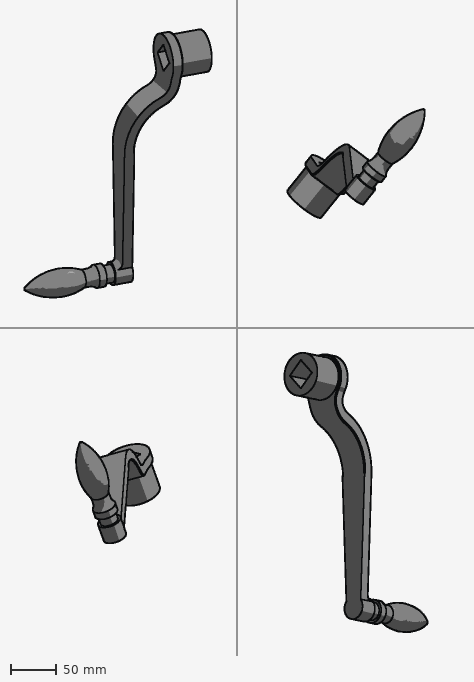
import cadquery as cq
import math


flange_diameter = 55.0
flange_radius = flange_diameter / 2
plate_thickness = 12.0
back_chamfer = 1.2
hub_radius = 24.0
hub_length = 36.0
square_side = 22.5

arm_forward = 54.3
bend_top_z = -22.0
bend_bottom_z = -100.5
outer_bend_radius = 66.0
neck_width = 37.3
neck_z = -38.1
arm_taper = 0.04
neck_blend_radius = 38.1

handle_z = -250.0
boss_radius = 13.2
boss_end = 63.5
boss_fillet = 5.3
stem_radius = 10.3
collar_start = 74.2
collar_end = 82.8
throat_start = 92.5
throat_end = 98.3
grip_diameter = 32.0
grip_radius = grip_diameter / 2
grip_widest = 126.5
tip_radius = 2.3
tip_start = 167.0
handle_end = 168.5

throat_middle = (11.2, -86.5)
grip_swell = (14.5, -110.5)
grip_narrowing = (12.0, -148.2)


def half_width(z):
    """Half the arm width at height z."""
    return neck_width / 2 + arm_taper * (z - neck_z)


def arm_side_profile():
    """S-shaped plate seen along X, with concentric front and back arcs."""
    drop = bend_top_z - bend_bottom_z
    radius_sum = (arm_forward**2 + drop**2) / (2 * arm_forward)
    inner_radius = radius_sum - outer_bend_radius
    turn = math.asin(drop / radius_sum)

    def upper(radius, angle):
        return (-inner_radius + radius * math.cos(angle), bend_top_z - radius * math.sin(angle))

    def lower(radius, angle):
        centre = arm_forward - outer_bend_radius
        return (-centre - radius * math.cos(angle), bend_bottom_z + radius * math.sin(angle))

    back_upper = inner_radius + plate_thickness
    back_lower = outer_bend_radius - plate_thickness
    return (
        cq.Workplane("YZ")
        .moveTo(0, flange_radius)
        .lineTo(0, bend_top_z)
        .threePointArc(upper(inner_radius, turn / 2), upper(inner_radius, turn))
        .threePointArc(lower(outer_bend_radius, turn / 2), lower(outer_bend_radius, 0))
        .lineTo(-arm_forward, handle_z)
        .lineTo(plate_thickness - arm_forward, handle_z)
        .lineTo(*lower(back_lower, 0))
        .threePointArc(lower(back_lower, turn / 2), lower(back_lower, turn))
        .threePointArc(upper(back_upper, turn / 2), upper(back_upper, 0))
        .lineTo(plate_thickness, flange_radius)
        .close()
    )


def arm_outline():
    """Round head blended by concave arcs into a tapering strip, seen along Y."""
    slope_angle = math.atan(arm_taper)
    edge_distance = half_width(0) * math.cos(slope_angle) + neck_blend_radius
    centre_distance = flange_radius + neck_blend_radius
    centre_angle = math.acos(edge_distance / centre_distance) + slope_angle
    centre_x = centre_distance * math.cos(centre_angle)
    centre_z = -centre_distance * math.sin(centre_angle)

    def blend_point(angle):
        x = centre_x - neck_blend_radius * math.cos(angle)
        z = centre_z + neck_blend_radius * math.sin(angle)
        return (x, z)

    head_end = blend_point(centre_angle)
    blend_middle = blend_point((centre_angle + slope_angle) / 2)
    strip_start = blend_point(slope_angle)

    def mirrored(point):
        return (-point[0], point[1])

    return (
        cq.Workplane("XZ")
        .moveTo(*mirrored(head_end))
        .threePointArc((0, flange_radius), head_end)
        .threePointArc(blend_middle, strip_start)
        .lineTo(half_width(handle_z), handle_z)
        .lineTo(-half_width(handle_z), handle_z)
        .lineTo(*mirrored(strip_start))
        .threePointArc(mirrored(blend_middle), mirrored(head_end))
        .close()
    )


def make_handle():
    """Turned boss, stem, collar and grip around the handle axis."""
    arm_back = arm_forward - plate_thickness
    profile = (
        cq.Workplane("XY")
        .moveTo(0, -arm_back)
        .lineTo(boss_radius, -arm_back)
        .lineTo(boss_radius, -boss_end)
        .lineTo(stem_radius, -boss_end)
        .lineTo(stem_radius, -collar_start)
        .lineTo(boss_radius, -collar_start)
        .lineTo(boss_radius, -collar_end)
        .spline([throat_middle, (stem_radius, -throat_start)], includeCurrent=True)
        .lineTo(stem_radius, -throat_end)
        .spline(
            [grip_swell, (grip_radius, -grip_widest), grip_narrowing, (tip_radius, -tip_start)],
            includeCurrent=True,
        )
        .lineTo(tip_radius / 2, -handle_end)
        .lineTo(0, -handle_end)
        .close()
    )
    return profile.revolve(360, (0, 0, 0), (0, 1, 0)).translate((0, 0, handle_z))


def make_boss_fillet(outline):
    """Concave ring between boss and arm front, trimmed to the arm outline."""
    arc_middle = boss_fillet * (1 - math.sqrt(0.5))
    ring = (
        cq.Workplane("XY")
        .moveTo(0, -arm_forward)
        .lineTo(boss_radius + boss_fillet, -arm_forward)
        .threePointArc(
            (boss_radius + arc_middle, -arm_forward - arc_middle),
            (boss_radius, -arm_forward - boss_fillet),
        )
        .lineTo(0, -arm_forward - boss_fillet)
        .close()
        .revolve(360, (0, 0, 0), (0, 1, 0))
        .translate((0, 0, handle_z))
    )
    return ring.intersect(outline)


def make_arm(outline):
    """Cranked plate whose back edge is chamfered around the head and bends only."""
    plate = arm_side_profile().extrude(flange_radius, both=True).intersect(outline)
    back_of_head = cq.selectors.NearestToPointSelector((0, plate_thickness, flange_radius))
    chamfered = plate.edges(back_of_head).chamfer(back_chamfer)
    straight_length = bend_bottom_z - handle_z
    straight_region = cq.Workplane("XY", origin=(0, -arm_forward, handle_z)).box(
        2 * flange_radius, 2 * arm_forward, straight_length, centered=(True, True, False)
    )
    return chamfered.union(plate.intersect(straight_region))


outline_prism = arm_outline().extrude(handle_end, both=True)
arm = make_arm(outline_prism)
hub = cq.Workplane("XZ").circle(hub_radius).extrude(-plate_thickness - hub_length)
square_hole = (
    cq.Workplane("XZ")
    .transformed(rotate=(0, 0, 45))
    .rect(square_side, square_side)
    .extrude(handle_end, both=True)
)

result = arm.union(hub).cut(square_hole).union(make_handle()).union(make_boss_fillet(outline_prism))